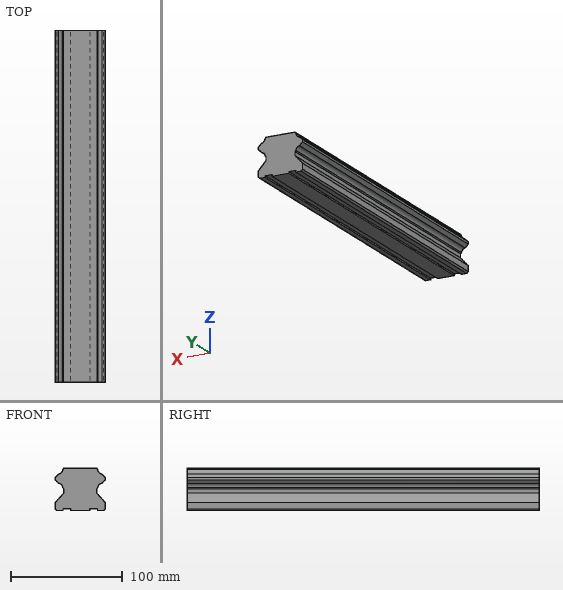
import cadquery as cq
import math

LENGTH = 315.0
WIDTH = 45.0
HEIGHT = 38.0

NOSE_CENTER_Z = 28.7
NOSE_FLAT = 2.2
NOSE_CHAMFER = 3.0
TRACK_HEIGHT = 3.8
TRACK_INNER_X = 15.8
TRACK_RADIUS = 4.0
TOP_HALF_WIDTH = 14.8

WAIST_HALF_WIDTH = 14.8
WAIST_TOP_Z = 19.5
WAIST_BOTTOM_Z = 15.8
FOOT_SIDE_TOP_Z = 7.2
FOOT_CHAMFER = 1.5

GROOVE_INNER_X = 8.5
GROOVE_OUTER_X = 15.5
GROOVE_DEPTH = 1.5

half_width = WIDTH / 2
nose_root_x = half_width - NOSE_CHAMFER
nose_tip_rise = NOSE_FLAT / 2
track_start_rise = nose_tip_rise + NOSE_CHAMFER
track_end_rise = track_start_rise + TRACK_HEIGHT


def track_middle(side):
    """Middle point of a concave track arc; side is +1 above the nose and -1 below it."""
    dx = nose_root_x - TRACK_INNER_X
    chord = math.hypot(dx, TRACK_HEIGHT)
    sagitta = TRACK_RADIUS - math.sqrt(TRACK_RADIUS**2 - (chord / 2) ** 2)
    x = (nose_root_x + TRACK_INNER_X) / 2 - sagitta * TRACK_HEIGHT / chord
    rise = (track_start_rise + track_end_rise) / 2 - sagitta * dx / chord
    return x, NOSE_CENTER_Z + side * rise


def half_section():
    """Right half of the cross section, closed along the rail's center plane."""
    return (
        cq.Workplane("XZ", origin=(0, LENGTH / 2, 0))
        .moveTo(0, 0)
        .lineTo(half_width - FOOT_CHAMFER, 0)
        .lineTo(half_width, FOOT_CHAMFER)
        .lineTo(half_width, FOOT_SIDE_TOP_Z)
        .lineTo(WAIST_HALF_WIDTH, WAIST_BOTTOM_Z)
        .lineTo(WAIST_HALF_WIDTH, WAIST_TOP_Z)
        .lineTo(TRACK_INNER_X, NOSE_CENTER_Z - track_end_rise)
        .threePointArc(track_middle(-1), (nose_root_x, NOSE_CENTER_Z - track_start_rise))
        .lineTo(half_width, NOSE_CENTER_Z - nose_tip_rise)
        .lineTo(half_width, NOSE_CENTER_Z + nose_tip_rise)
        .lineTo(nose_root_x, NOSE_CENTER_Z + track_start_rise)
        .threePointArc(track_middle(1), (TRACK_INNER_X, NOSE_CENTER_Z + track_end_rise))
        .lineTo(TOP_HALF_WIDTH, HEIGHT)
        .lineTo(0, HEIGHT)
        .close()
    )


def underside_groove():
    """Full-length cutter for the relief groove on the right half."""
    width = GROOVE_OUTER_X - GROOVE_INNER_X
    return (
        cq.Workplane("XY", origin=(GROOVE_INNER_X, 0, 0))
        .box(width, LENGTH, GROOVE_DEPTH, centered=(False, True, False))
    )


half_rail = half_section().extrude(LENGTH).cut(underside_groove())
result = half_rail.union(half_rail.mirror("YZ")).clean()